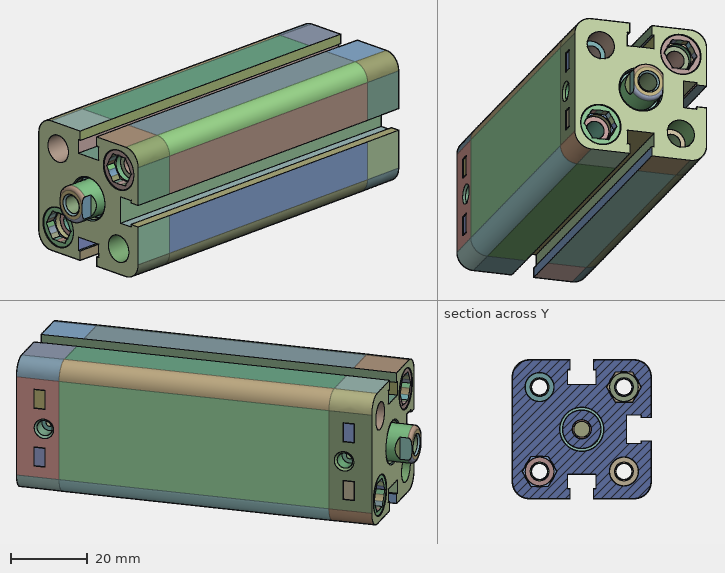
import cadquery as cq
total_length = 103.6
width = 36.3
corner_radius = 4.6
rod_length = 6.4
cap_length = 11.7
cap_draft = 0.3

rear_y = total_length / 2
front_y = rod_length - total_length / 2
rod_tip_y = -total_length / 2
body_length = rear_y - front_y - 2 * cap_length

slot_mouth_width = 6.0
slot_inner_width = 7.4
slot_lip = 2.7
slot_depth = 6.4

screw_spacing = 22.0
hole_diameter = 4.1
thread_diameter = 4.9
thread_depth = 15.5
counterbore_diameter = 7.5
counterbore_depth = 7.6
head_diameter = 10.8
head_rim_diameter = 11.1
socket_diameter = 8.0
socket_flats = 7.8
socket_depth = 2.9
socket_bore_depth = 4.6

rod_diameter = 10.0
rod_tip_fillet = 1.0
rod_flats = 8.0
rod_flat_length = 3.2
rod_thread_diameter = 4.9
rod_thread_mouth = 5.9
rod_thread_depth = 10.4
rod_core_diameter = 4.1
rod_core_depth = 12.4
seal_recess_diameter = 11.4
seal_recess_mouth = 12.0
seal_recess_depth = 2.1

port_inset = 7.6
port_diameter = 4.1
port_mouth = 5.4
port_depth = 4.7
orifice_diameter = 1.8
orifice_depth = 8.3
label_inset = 6.3
label_offset = 8.0
label_length = 3.0
label_height = 5.2
label_floor = 0.3


def cylinder_y(diameter, start_y, length, x=0.0, z=0.0):
    """Cylinder running from start_y toward +Y."""
    return cq.Workplane(cq.Solid.makeCylinder(
        diameter / 2, length, cq.Vector(x, start_y, z), cq.Vector(0, 1, 0)))


def cone_y(mouth_diameter, inner_diameter, start_y, x=0.0, z=0.0):
    """45 degree countersink that opens at start_y and narrows toward +Y."""
    depth = (mouth_diameter - inner_diameter) / 2
    return cq.Workplane(cq.Solid.makeCone(
        mouth_diameter / 2, inner_diameter / 2, depth, cq.Vector(x, start_y, z), cq.Vector(0, 1, 0)))


def rounded_square(start_y, length, toward, draft=0.0):
    """Square bar with round corners, extruded from start_y along Y in direction toward (+1 or -1)."""
    plane = cq.Plane(origin=(0, start_y, 0), xDir=(1, 0, 0), normal=(0, toward, 0))
    outline = cq.Sketch().rect(width, width).vertices().fillet(corner_radius)
    return cq.Workplane(plane).placeSketch(outline).extrude(length, taper=draft)


def t_slot(angle):
    """Full-length T-slot cutter for the top side, turned about Y."""
    length = rear_y - front_y
    middle_y = (rear_y + front_y) / 2
    inner_height = slot_depth - slot_lip
    mouth = cq.Workplane().box(slot_mouth_width, length, slot_depth)
    mouth = mouth.translate((0, middle_y, width / 2 - slot_depth / 2))
    inner = cq.Workplane().box(slot_inner_width, length, inner_height)
    inner = inner.translate((0, middle_y, width / 2 - slot_depth + inner_height / 2))
    return mouth.union(inner).rotate((0, 0, 0), (0, 1, 0), angle)


def threaded_hole(x, z):
    """Through bore with a wider threaded stretch behind the front face."""
    bore = cylinder_y(hole_diameter, front_y, rear_y - front_y, x, z)
    return bore.union(cylinder_y(thread_diameter, front_y, thread_depth, x, z))


def plain_corner(x, z):
    """Counterbored corner hole."""
    return threaded_hole(x, z).union(cylinder_y(counterbore_diameter, front_y, counterbore_depth, x, z))


def screw_corner(x, z):
    """Sunk screw head: conical rim, hexagon socket with bulged flats, and a deeper round bore."""
    recess = cone_y(head_rim_diameter, head_diameter, front_y, x, z)
    plane = cq.Plane(origin=(x, front_y, z), xDir=(0, 0, 1), normal=(0, 1, 0))
    hexagon = cq.Workplane(plane).polygon(6, socket_flats, circumscribed=True).extrude(socket_depth)
    socket = hexagon.union(cylinder_y(socket_diameter, front_y, socket_depth, x, z))
    bore = cylinder_y(counterbore_diameter, front_y, socket_bore_depth, x, z)
    return threaded_hole(x, z).union(recess).union(socket).union(bore)


def piston_rod():
    """Round rod with two wrench flats, 45 degree run-outs and a rounded tip."""
    full_length = rod_length + seal_recess_depth
    rod = cylinder_y(rod_diameter, rod_tip_y, full_length).faces("<Y").edges().fillet(rod_tip_fillet)
    flat_x = rod_flats / 2
    outer_x = rod_diameter / 2
    flat_end_y = rod_tip_y + rod_flat_length
    runout_y = flat_end_y + outer_x - flat_x
    flat = (
        cq.Workplane("XY")
        .polyline([(flat_x, rod_tip_y), (flat_x, flat_end_y), (outer_x, runout_y), (outer_x, rod_tip_y)])
        .close()
        .extrude(rod_diameter / 2, both=True)
    )
    return rod.cut(flat).cut(flat.mirror("YZ"))


def air_port(y):
    """Countersunk port on the -X side with a small orifice in its floor."""
    face_x = -width / 2
    origin = cq.Vector(face_x, y, 0)
    inward = cq.Vector(1, 0, 0)
    bore = cq.Solid.makeCylinder(port_diameter / 2, port_depth, origin, inward)
    countersink_depth = (port_mouth - port_diameter) / 2
    countersink = cq.Solid.makeCone(port_mouth / 2, port_diameter / 2, countersink_depth, origin, inward)
    orifice = cq.Solid.makeCylinder(orifice_diameter / 2, orifice_depth, origin, inward)
    return cq.Workplane(bore).union(cq.Workplane(countersink)).union(cq.Workplane(orifice))


def label_recess(y, z):
    """Shallow rectangular recess for a label plate on the -X side."""
    recess = cq.Workplane().box(label_floor, label_length, label_height)
    return recess.translate(((label_floor - width) / 2, y, z))


front_seam_y = front_y + cap_length
rear_seam_y = rear_y - cap_length
body = rounded_square(front_seam_y, body_length, 1)
body = body.union(rounded_square(front_seam_y, cap_length, -1, cap_draft))
body = body.union(rounded_square(rear_seam_y, cap_length, 1, cap_draft))

for slot_angle in (0, 90, 180):
    body = body.cut(t_slot(slot_angle))

corner = screw_spacing / 2
for side in (-1, 1):
    body = body.cut(screw_corner(side * corner, side * corner))
    body = body.cut(plain_corner(side * corner, -side * corner))

for end_y, inward in ((front_y, 1), (rear_y, -1)):
    body = body.cut(air_port(end_y + inward * port_inset))
    for label_z in (-label_offset, label_offset):
        body = body.cut(label_recess(end_y + inward * label_inset, label_z))

body = body.cut(cylinder_y(seal_recess_diameter, front_y, seal_recess_depth))
body = body.cut(cone_y(seal_recess_mouth, seal_recess_diameter, front_y))
body = body.union(piston_rod())
body = body.cut(cylinder_y(rod_thread_diameter, rod_tip_y, rod_thread_depth))
body = body.cut(cone_y(rod_thread_mouth, rod_thread_diameter, rod_tip_y))
result = body.cut(cylinder_y(rod_core_diameter, rod_tip_y, rod_core_depth))